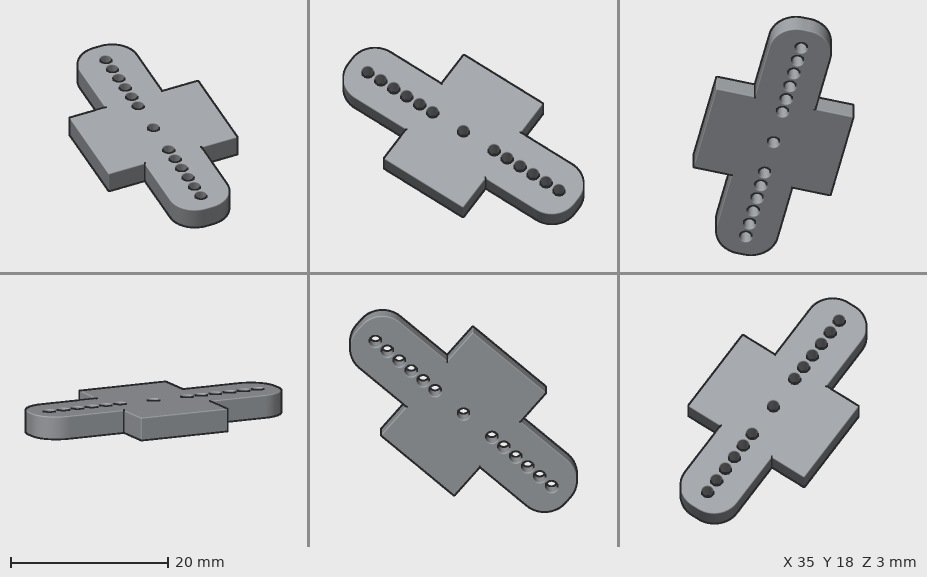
import cadquery as cq

length = 35.0
depth = 18.0
thickness = 3.0

bar_width = 8.0
bar_corner_radius = 3.5
block_length = 12.35

edge_radius = 0.15

hole_diameter = 1.5
hole_pitch = 2.0
holes_per_side = 6
first_hole_offset = 4.75


def make_body():
    """Cross-shaped plate with rounded bar ends and softened outer edges."""
    bar = cq.Workplane("XY").box(length, bar_width, thickness)
    bar = bar.edges("|Z").fillet(bar_corner_radius)
    block = cq.Workplane("XY").box(block_length, depth, thickness)
    block = block.edges("|Z").fillet(edge_radius)
    return bar.union(block)


def hole_centers():
    """Centre hole plus a mirrored row of evenly spaced holes on each side."""
    centers = [(0, 0)]
    for index in range(holes_per_side):
        offset = first_hole_offset + index * hole_pitch
        centers.append((offset, 0))
        centers.append((-offset, 0))
    return centers


def drill_holes(body):
    drills = (
        cq.Workplane("XY")
        .workplane(offset=-thickness / 2)
        .pushPoints(hole_centers())
        .circle(hole_diameter / 2)
        .extrude(thickness)
    )
    return body.cut(drills)


def soften_rims(body):
    """Round every edge of the top and bottom faces, hole rims included."""
    return body.faces("<Z or >Z").edges().fillet(edge_radius)


result = soften_rims(drill_holes(make_body()))